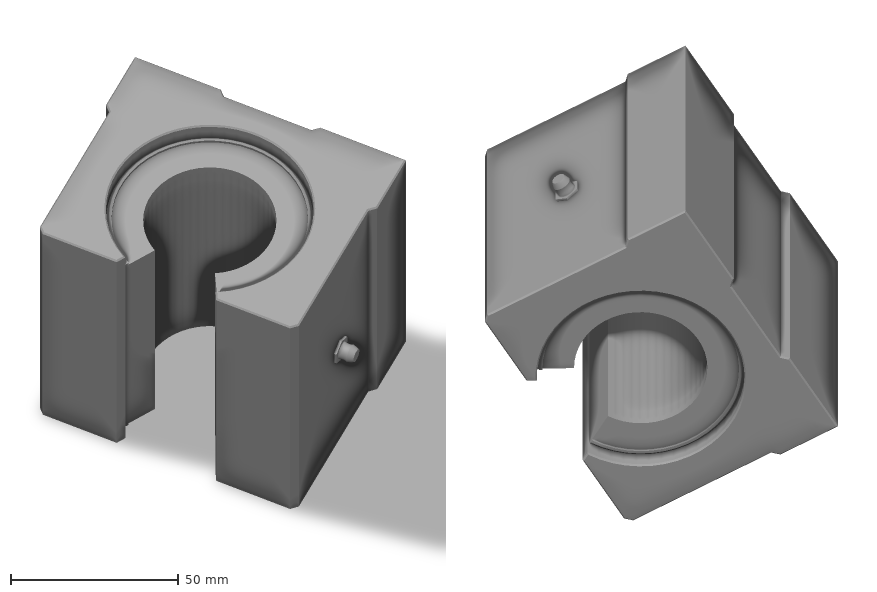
import cadquery as cq
import math


length = 90.0
head_width = 90.0
waist_width = 86.0
back_y = 42.0
front_y = -30.0
head_depth = 20.0
corner_chamfer = 2.0
groove_depth = 2.0
groove_width = 33.0
mouth_width = 33.1
edge_chamfer = 0.5

bushing_outer_radius = 31.1
bushing_bore_radius = 19.9
bushing_length = 80.0
bushing_chamfer = 0.8
rim_inner_radius = 29.4
rim_height = 0.8

slot_half_angle = math.radians(30)

hex_across_flats = 7.5
hex_thickness = 0.8
collar_diameter = 5.6
waist_diameter = 5.1
dome_diameter = 5.1
tip_diameter = 4.1
neck_length = 2.8
total_width = 93.6


def slot_wedge(apex_y, height):
    """Wedge that opens towards -Y from a line parallel to the bore axis."""
    reach = 2 * bushing_outer_radius
    half_width = reach * math.tan(slot_half_angle)
    return (
        cq.Workplane("XY")
        .moveTo(0, apex_y)
        .lineTo(half_width, apex_y - reach)
        .lineTo(-half_width, apex_y - reach)
        .close()
        .extrude(height / 2, both=True)
    )


def make_housing():
    """Shouldered block with a grooved back, a through bore and an open front slot."""
    head_x = head_width / 2
    waist_x = waist_width / 2
    shoulder = head_x - waist_x
    groove_x = groove_width / 2
    right_half = [
        (groove_x - groove_depth, back_y - groove_depth),
        (groove_x, back_y),
        (head_x, back_y),
        (head_x, back_y - head_depth),
        (waist_x, back_y - head_depth - shoulder),
        (waist_x, front_y + corner_chamfer),
        (waist_x - corner_chamfer, front_y),
    ]
    left_half = [(-x, y) for x, y in reversed(right_half)]
    block = cq.Workplane("XY").polyline(right_half + left_half).close().extrude(length / 2, both=True)

    bore = cq.Workplane("XY").circle(bushing_outer_radius).extrude(length / 2, both=True)
    slot_apex_y = front_y + mouth_width / 2 / math.tan(slot_half_angle)
    housing = block.cut(bore).cut(slot_wedge(slot_apex_y, length))
    return housing.faces("|Z").edges().chamfer(edge_chamfer)


def make_bushing():
    """Slotted sleeve with a recessed end face inside a thin rim at each end."""
    bushing = (
        cq.Workplane("XY")
        .circle(bushing_outer_radius)
        .extrude(bushing_length / 2, both=True)
        .faces("|Z")
        .edges()
        .chamfer(bushing_chamfer)
    )
    bore = cq.Workplane("XY").circle(bushing_bore_radius).extrude(bushing_length / 2, both=True)
    bushing = bushing.cut(bore)
    for end in (1, -1):
        recess = (
            cq.Workplane("XY")
            .workplane(offset=end * bushing_length / 2)
            .circle(rim_inner_radius)
            .extrude(-end * rim_height)
        )
        bushing = bushing.cut(recess)
    return bushing.cut(slot_wedge(0, bushing_length))


def make_nipple():
    """Hexagonal base with a concave neck and a rounded head, pointing along +X."""
    seat_x = waist_width / 2
    tip_x = total_width - head_width / 2
    neck_start_x = seat_x + hex_thickness
    neck_end_x = neck_start_x + neck_length
    neck_middle_x = (neck_start_x + neck_end_x) / 2
    dome_middle_x = (neck_end_x + tip_x) / 2
    collar_radius = collar_diameter / 2
    corner_radius = hex_across_flats / 2 / math.cos(math.radians(30))
    hex_points = []
    for corner in range(6):
        angle = math.radians(60 * corner + 90)
        hex_points.append((corner_radius * math.cos(angle), corner_radius * math.sin(angle)))
    base = cq.Workplane("YZ").workplane(offset=seat_x).polyline(hex_points).close().extrude(hex_thickness)

    stem = (
        cq.Workplane("XY")
        .moveTo(seat_x, 0)
        .lineTo(seat_x, collar_radius)
        .lineTo(neck_start_x, collar_radius)
        .threePointArc((neck_middle_x, waist_diameter / 2), (neck_end_x, collar_radius))
        .threePointArc((dome_middle_x, dome_diameter / 2), (tip_x, tip_diameter / 2))
        .lineTo(tip_x, 0)
        .close()
        .revolve(360, (0, 0, 0), (1, 0, 0))
    )
    return base.union(stem)


housing = make_housing()
bushing = make_bushing()
nipple = make_nipple()

result = cq.Compound.makeCompound([housing.val(), bushing.val(), nipple.val()])